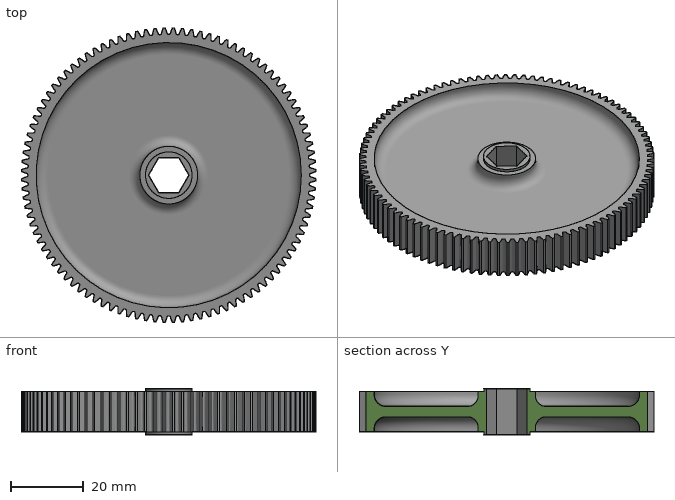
import cadquery as cq
import math

TOOTH_COUNT = 100
OUTER_RADIUS = 40.5
MODULE = 2 * OUTER_RADIUS / (TOOTH_COUNT + 2)
PITCH_RADIUS = MODULE * TOOTH_COUNT / 2
DEDENDUM_FACTOR = 1.25
ROOT_RADIUS = PITCH_RADIUS - DEDENDUM_FACTOR * MODULE
PRESSURE_ANGLE = math.radians(20)
BASE_RADIUS = PITCH_RADIUS * math.cos(PRESSURE_ANGLE)
PITCH_ANGLE = 2 * math.pi / TOOTH_COUNT

TOOTH_THINNING = 0.1
ROOT_ROUNDING_HEIGHT = 0.2
FLANK_START_RADIUS = ROOT_RADIUS + ROOT_ROUNDING_HEIGHT
FLANK_STEPS = 3

FACE_WIDTH = 11.1
HUB_LENGTH = 12.7
RECESS_DEPTH = 4.05

RIM_INNER_RADIUS = 36.4
RIM_FILLET = 3.15
COLLAR_RADIUS = 7.9
COLLAR_FILLET = 2.9
HUB_RADIUS = 6.4

HEX_ACROSS_FLATS = 9.55


def polar(radius, angle):
    """Cartesian point at a radius and an angle from +X."""
    return (radius * math.cos(angle), radius * math.sin(angle))


def involute_angle(radius):
    """Polar angle swept by the involute between the base circle and a radius."""
    roll = math.sqrt((radius / BASE_RADIUS) ** 2 - 1)
    return roll - math.atan(roll)


def gap_half_angle(radius):
    """Half the angle that the gap between two teeth spans at a radius."""
    half_at_pitch_circle = PITCH_ANGLE / 4 + TOOTH_THINNING / (2 * PITCH_RADIUS)
    return half_at_pitch_circle + involute_angle(radius) - involute_angle(PITCH_RADIUS)


def gap_points(centre):
    """Points along one gap: down a flank, through the rounded root and up the next flank."""
    flank_height = OUTER_RADIUS - FLANK_START_RADIUS
    flank_radii = [OUTER_RADIUS - flank_height * step / FLANK_STEPS for step in range(FLANK_STEPS + 1)]
    falling = [polar(radius, centre - gap_half_angle(radius)) for radius in flank_radii]
    rising = [polar(radius, centre + gap_half_angle(radius)) for radius in reversed(flank_radii)]
    return falling + [polar(ROOT_RADIUS, centre)] + rising


def toothed_blank():
    """Spur gear disc with a tooth gap centred on +X."""
    outline = cq.Workplane("XY").workplane(offset=-FACE_WIDTH / 2)
    outline = outline.moveTo(*gap_points(0)[0])
    for tooth in range(TOOTH_COUNT):
        gap_centre = tooth * PITCH_ANGLE
        tip_centre = gap_centre + PITCH_ANGLE / 2
        next_gap_start = gap_points(gap_centre + PITCH_ANGLE)[0]
        outline = (
            outline
            .spline(gap_points(gap_centre)[1:], includeCurrent=True)
            .threePointArc(polar(OUTER_RADIUS, tip_centre), next_gap_start)
        )
    return outline.close().extrude(FACE_WIDTH)


def face_recess():
    """Ring cut into the upper face between collar and rim, rounded where it meets the web."""
    top = FACE_WIDTH / 2
    floor = top - RECESS_DEPTH
    profile = (
        cq.Workplane("XZ")
        .moveTo(COLLAR_RADIUS, top)
        .lineTo(COLLAR_RADIUS, floor + COLLAR_FILLET)
        .radiusArc((COLLAR_RADIUS + COLLAR_FILLET, floor), -COLLAR_FILLET)
        .lineTo(RIM_INNER_RADIUS - RIM_FILLET, floor)
        .radiusArc((RIM_INNER_RADIUS, floor + RIM_FILLET), -RIM_FILLET)
        .lineTo(RIM_INNER_RADIUS, top)
        .close()
    )
    return profile.revolve(360, (0, 0, 0), (0, 1, 0))


def hub():
    """Round hub standing proud of both faces."""
    return cq.Workplane("XY").circle(HUB_RADIUS).extrude(HUB_LENGTH / 2, both=True)


def hex_bore():
    """Hexagonal through bore with two corners on the X axis."""
    across_corners = HEX_ACROSS_FLATS / math.cos(math.pi / 6)
    return cq.Workplane("XY").polygon(6, across_corners).extrude(HUB_LENGTH / 2, both=True)


upper_recess = face_recess()
lower_recess = upper_recess.mirror("XY")

result = (
    toothed_blank()
    .cut(upper_recess)
    .cut(lower_recess)
    .union(hub())
    .cut(hex_bore())
)